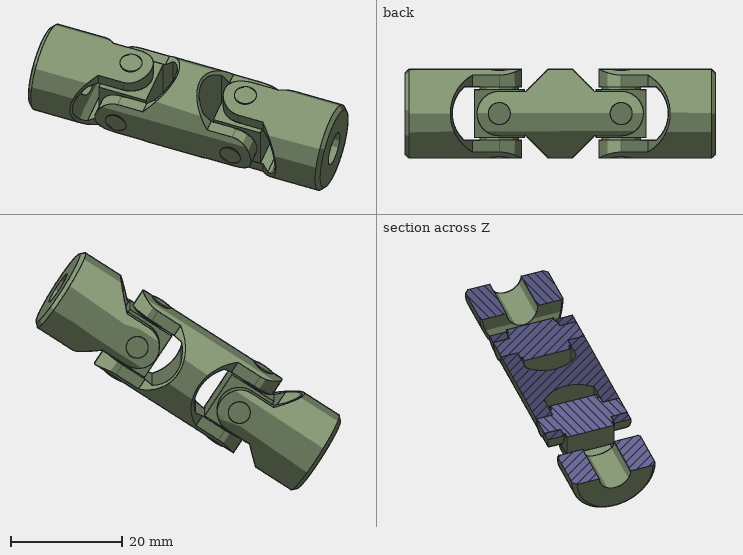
import cadquery as cq
import math

total_length = 56.0
body_diameter = 16.0
end_chamfer = 0.7
bore_diameter = 6.0

pin_from_end = 17.0
pin_diameter = 4.0
lug_width = 8.0
shoulder_from_pin = 4.8
slot_width = 9.6
slot_floor_from_pin = 8.45
slot_floor_radius = 6.45

block_length = 9.0
block_width = 9.0
block_height = 8.6
boss_diameter = 7.0

body_radius = body_diameter / 2
lug_radius = lug_width / 2
cross_x = total_length / 2 - pin_from_end
shoulder_height = body_radius - lug_radius
bore_depth = pin_from_end


def rod(start_x, length):
    """Full-diameter cylinder along X."""
    return cq.Workplane("YZ", origin=(start_x, 0, 0)).circle(body_radius).extrude(length)


def fork_outline(back):
    """Fork seen along its pin: full width, 45 degree shoulders, then a round-ended lug."""
    shoulder_x = -shoulder_from_pin
    return (
        cq.Workplane("XY", origin=(0, 0, -body_radius))
        .moveTo(-back, -body_radius)
        .lineTo(shoulder_x - shoulder_height, -body_radius)
        .lineTo(shoulder_x, -lug_radius)
        .lineTo(0, -lug_radius)
        .threePointArc((lug_radius, 0), (0, lug_radius))
        .lineTo(shoulder_x, lug_radius)
        .lineTo(shoulder_x - shoulder_height, body_radius)
        .lineTo(-back, body_radius)
        .close()
        .extrude(body_diameter)
    )


def fork_slot():
    """Slot between the lugs, open towards +X, with a floor rounded about Y."""
    floor_centre_x = slot_floor_radius - slot_floor_from_pin
    half_width = slot_width / 2
    floor_edge_x = floor_centre_x - math.sqrt(slot_floor_radius**2 - half_width**2)
    return (
        cq.Workplane("XZ", origin=(0, body_radius, 0))
        .moveTo(lug_radius, half_width)
        .lineTo(floor_edge_x, half_width)
        .threePointArc((-slot_floor_from_pin, 0), (floor_edge_x, -half_width))
        .lineTo(lug_radius, -half_width)
        .close()
        .extrude(body_diameter)
    )


def fork(back):
    """Fork with its pin on the Z axis, reaching back along -X by the given length."""
    pin_hole = (
        cq.Workplane("XY", origin=(0, 0, -body_radius)).circle(pin_diameter / 2).extrude(body_diameter)
    )
    blank = rod(-back, back + lug_radius).intersect(fork_outline(back))
    return blank.cut(fork_slot()).cut(pin_hole)


def end_yoke(turn):
    """End yoke: a fork with a chamfered outer end and an axial bore, turned about Z to its end."""
    bore = (
        cq.Workplane("YZ", origin=(-pin_from_end, 0, 0)).circle(bore_diameter / 2).extrude(bore_depth)
    )
    yoke = fork(pin_from_end).faces("<X").chamfer(end_chamfer).cut(bore)
    return yoke.translate((-cross_x, 0, 0)).rotate((0, 0, 0), (0, 0, 1), turn)


def middle_yoke():
    """Centre body: two forks back to back, with their pins along Y."""
    right_half = fork(cross_x).rotate((0, 0, 0), (1, 0, 0), 90).translate((cross_x, 0, 0))
    left_half = right_half.mirror("YZ")
    return right_half.union(left_half)


def cross(centre_x):
    """Cross: a block with a boss and a pin on each of its four Y and Z sides."""
    body = cq.Workplane("XY").box(block_length, block_width, block_height)
    for plane in ("XY", "XZ"):
        boss = cq.Workplane(plane).circle(boss_diameter / 2).extrude(slot_width / 2, both=True)
        pin = cq.Workplane(plane).circle(pin_diameter / 2).extrude(body_radius, both=True)
        body = body.union(boss).union(pin)
    return body.translate((centre_x, 0, 0))


end_yokes = [end_yoke(turn) for turn in (0, 180)]
centre_yoke = middle_yoke()
crosses = [cross(side * cross_x) for side in (-1, 1)]

result = cq.Compound.makeCompound(
    [
        *[yoke.solids().val() for yoke in end_yokes],
        centre_yoke.solids().val(),
        *[spider.solids().val() for spider in crosses],
    ]
)